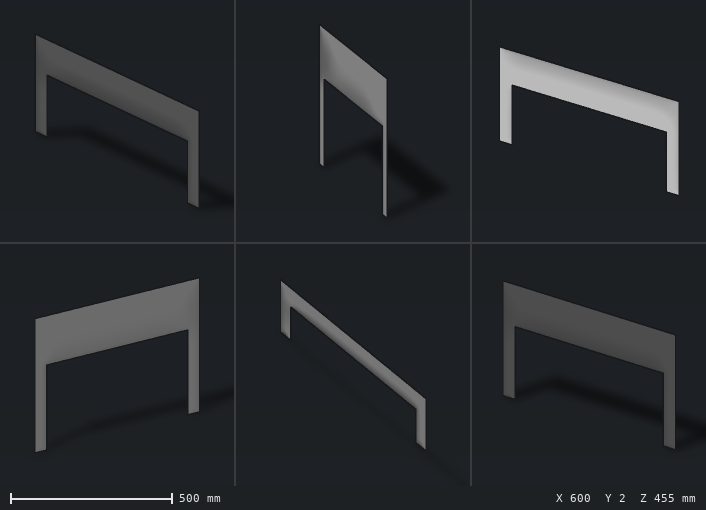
import cadquery as cq

width = 600.0
height = 455.0
thickness = 2.0

leg_width = 42.5
panel_height = 167.5
opening_width = width - 2 * leg_width
opening_height = height - panel_height

plate = cq.Workplane("XY").box(width, thickness, height)

opening = (
    cq.Workplane("XY")
    .box(opening_width, thickness, opening_height)
    .translate((0, 0, (opening_height - height) / 2))
)

result = plate.cut(opening)